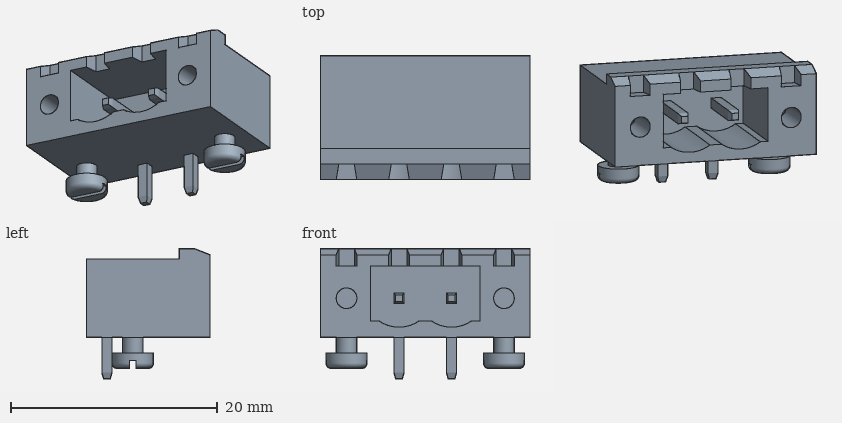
import cadquery as cq

PITCH = 5.08
PIN_COUNT = 2
WIDTH = (PIN_COUNT + 2) * PITCH
DEPTH = 12.0
BODY_HEIGHT = 7.6
LIP_HEIGHT = 1.0
LIP_DEPTH = 3.0
BEVEL_DEPTH = 1.5
BEVEL_DROP = 0.6
FRONT_Y = -DEPTH / 2
BACK_Y = DEPTH / 2
TOP_Z = BODY_HEIGHT + LIP_HEIGHT

CAVITY_WIDTH = 10.56
CAVITY_FLOOR_Z = 1.6
CAVITY_TOP_Z = 6.9
CAVITY_DEPTH = 8.5
TROUGH_HALF_WIDTH = 1.95
TROUGH_DROP = 0.6

NOTCH_FRONT_WIDTH = 2.0
NOTCH_BACK_WIDTH = 1.5

PIN_SIZE = 1.0
PIN_TIP_SIZE = 0.66
PIN_TIP_LENGTH = 0.6
PIN_TAIL_LENGTH = 4.0
PIN_TAIL_Y = 4.0
MATING_AXIS_Z = 3.8
PIN_TIP_Y = -4.0

FLANGE_HOLE_DIAMETER = 2.0
FLANGE_HOLE_DEPTH = 5.0
SCREW_Y = 1.5
SCREW_SHANK_DIAMETER = 2.0
SCREW_SHANK_LENGTH = 1.5
SCREW_HEAD_DIAMETER = 4.0
SCREW_HEAD_HEIGHT = 1.5
SCREW_HEAD_ROUNDING = 0.5
SCREW_SLOT_WIDTH = 0.6
SCREW_SLOT_DEPTH = 0.75

PIN_XS = [(i - (PIN_COUNT - 1) / 2) * PITCH for i in range(PIN_COUNT)]
FLANGE_XS = [PIN_XS[0] - PITCH, PIN_XS[-1] + PITCH]


def make_housing():
    """Side profile with the bevelled lip, extruded over the full width."""
    return (
        cq.Workplane("YZ")
        .moveTo(FRONT_Y, 0)
        .lineTo(BACK_Y, 0)
        .lineTo(BACK_Y, BODY_HEIGHT)
        .lineTo(FRONT_Y + LIP_DEPTH, BODY_HEIGHT)
        .lineTo(FRONT_Y + LIP_DEPTH, TOP_Z)
        .lineTo(FRONT_Y + BEVEL_DEPTH, TOP_Z)
        .lineTo(FRONT_Y, TOP_Z - BEVEL_DROP)
        .close()
        .extrude(WIDTH / 2, both=True)
    )


def make_cavity():
    """Opening for the mating plug, with arc-shaped troughs in the floor."""
    half_width = CAVITY_WIDTH / 2
    outline = (
        cq.Workplane("XZ", origin=(0, FRONT_Y, 0))
        .moveTo(-half_width, CAVITY_TOP_Z)
        .lineTo(-half_width, CAVITY_FLOOR_Z)
    )
    for x in PIN_XS:
        outline = outline.lineTo(x - TROUGH_HALF_WIDTH, CAVITY_FLOOR_Z).threePointArc(
            (x, CAVITY_FLOOR_Z - TROUGH_DROP),
            (x + TROUGH_HALF_WIDTH, CAVITY_FLOOR_Z),
        )
    return (
        outline.lineTo(half_width, CAVITY_FLOOR_Z)
        .lineTo(half_width, CAVITY_TOP_Z)
        .close()
        .extrude(-CAVITY_DEPTH)
    )


def make_notch(x):
    """Coding notch that reaches from the top edge down to the cavity top."""
    front_half = NOTCH_FRONT_WIDTH / 2
    back_half = NOTCH_BACK_WIDTH / 2
    notch_back_y = FRONT_Y + BEVEL_DEPTH
    return (
        cq.Workplane("XY", origin=(0, 0, CAVITY_TOP_Z))
        .moveTo(x - front_half, FRONT_Y)
        .lineTo(x + front_half, FRONT_Y)
        .lineTo(x + back_half, notch_back_y)
        .lineTo(x - back_half, notch_back_y)
        .close()
        .extrude(TOP_Z - CAVITY_TOP_Z)
    )


def make_flange_hole(x):
    """Blind round hole in the mating face."""
    return (
        cq.Workplane("XZ", origin=(x, FRONT_Y, MATING_AXIS_Z))
        .circle(FLANGE_HOLE_DIAMETER / 2)
        .extrude(-FLANGE_HOLE_DEPTH)
    )


def make_tapered_bar(tip_plane, length):
    """Square bar that starts with a tapered tip and runs along the normal of the tip plane."""
    tip = (
        cq.Workplane(tip_plane)
        .rect(PIN_TIP_SIZE, PIN_TIP_SIZE)
        .workplane(offset=PIN_TIP_LENGTH)
        .rect(PIN_SIZE, PIN_SIZE)
        .loft(ruled=True)
    )
    shaft = (
        cq.Workplane(tip_plane)
        .workplane(offset=PIN_TIP_LENGTH)
        .rect(PIN_SIZE, PIN_SIZE)
        .extrude(length - PIN_TIP_LENGTH)
    )
    return tip.union(shaft)


def make_pin(x):
    """Right-angled pin: a contact leg along Y and a solder tail along Z."""
    contact_plane = cq.Plane(origin=(x, PIN_TIP_Y, MATING_AXIS_Z), xDir=(1, 0, 0), normal=(0, 1, 0))
    tail_plane = cq.Plane(origin=(x, PIN_TAIL_Y, -PIN_TAIL_LENGTH), xDir=(1, 0, 0), normal=(0, 0, 1))
    contact_length = PIN_TAIL_Y - PIN_TIP_Y
    tail_length = MATING_AXIS_Z + PIN_TAIL_LENGTH
    contact_leg = make_tapered_bar(contact_plane, contact_length)
    solder_tail = make_tapered_bar(tail_plane, tail_length)
    return contact_leg.union(solder_tail)


def make_screw(x):
    """Slotted screw, slot along X, with its shank ending at the underside of the housing."""
    head_bottom_z = -SCREW_SHANK_LENGTH - SCREW_HEAD_HEIGHT
    shank = (
        cq.Workplane("XY", origin=(x, SCREW_Y, 0))
        .circle(SCREW_SHANK_DIAMETER / 2)
        .extrude(-SCREW_SHANK_LENGTH)
    )
    head = (
        cq.Workplane("XY", origin=(x, SCREW_Y, head_bottom_z))
        .circle(SCREW_HEAD_DIAMETER / 2)
        .extrude(SCREW_HEAD_HEIGHT)
        .faces("<Z")
        .edges()
        .fillet(SCREW_HEAD_ROUNDING)
    )
    slot = cq.Workplane("XY", origin=(x, SCREW_Y, head_bottom_z)).box(
        SCREW_HEAD_DIAMETER, SCREW_SLOT_WIDTH, SCREW_SLOT_DEPTH, centered=(True, True, False)
    )
    return shank.union(head.cut(slot))


result = make_housing().cut(make_cavity())
for flange_x in FLANGE_XS:
    result = result.cut(make_flange_hole(flange_x)).union(make_screw(flange_x))
for notch_x in FLANGE_XS + PIN_XS:
    result = result.cut(make_notch(notch_x))
for pin_x in PIN_XS:
    result = result.union(make_pin(pin_x))